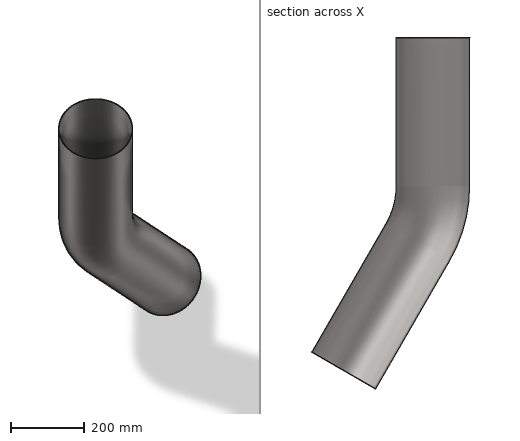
import math

import cadquery as cq

outer_diameter = 203.0
inner_diameter = 200.0
leg_length = 407.0
bend_angle = 30
bend_radius = 1.5 * outer_diameter


def bend_point(angle):
    """Centreline point (y, z) at an angle in degrees from the top of the bend."""
    turn = math.radians(angle)
    return bend_radius * (1 - math.cos(turn)), -bend_radius * math.sin(turn)


bend_end_y, bend_end_z = bend_point(bend_angle)
lean = math.radians(bend_angle)
foot = (bend_end_y + leg_length * math.sin(lean), bend_end_z - leg_length * math.cos(lean))

centreline = (
    cq.Workplane("YZ")
    .moveTo(0, leg_length)
    .lineTo(0, 0)
    .threePointArc(bend_point(bend_angle / 2), (bend_end_y, bend_end_z))
    .lineTo(*foot)
)

result = (
    cq.Workplane("XY", origin=(0, 0, leg_length))
    .circle(outer_diameter / 2)
    .circle(inner_diameter / 2)
    .sweep(centreline)
)